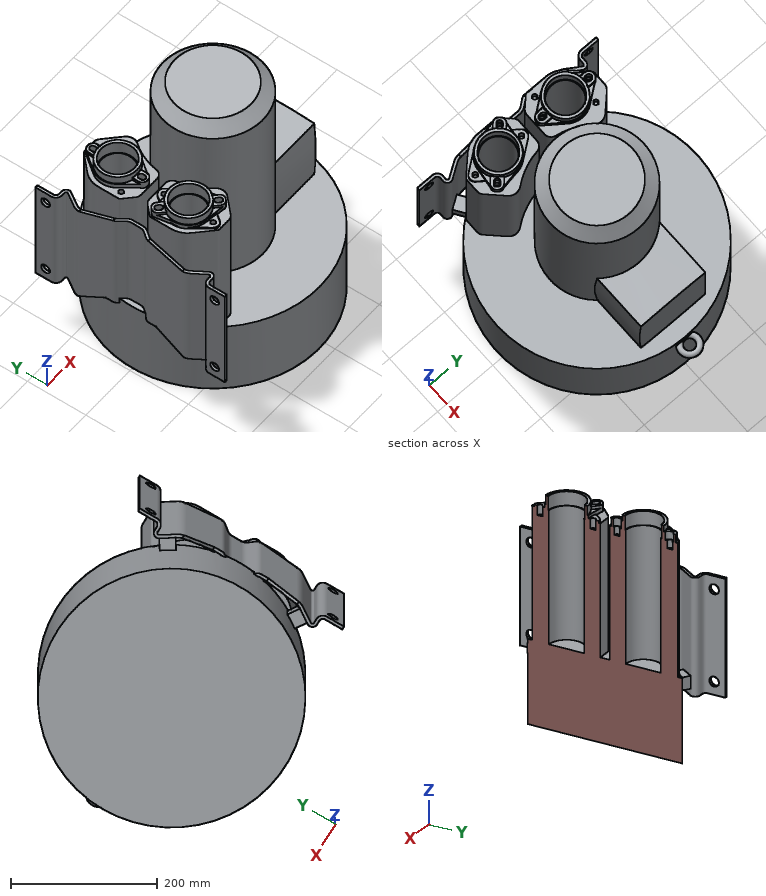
import cadquery as cq
import math

base_radius = 182.9
base_height = 130.0
motor_radius = 85.5
motor_top_radius = 65.5
motor_chamfer_height = 19.5
total_height = 432.7

box_end_x = 155.4
box_front_y = -56.2
box_back_y = 60.7
box_height = 111.2
box_crown = 2.4

pipe_x = -135.2
pipe_y = 60.8
silencer_top = 333.3
silencer_left_x = -177.3
silencer_outer_y = 115.8
silencer_inner_y = 6.9
outer_left_x = -139.6
outer_right_x = -111.5
inner_left_x = -158.0
motor_clearance_radius = 106.5
wall_round = 38.0
edge_round = 12.0
flank_round = 16.0
small_round = 5.5

pipe_top = 354.5
pipe_radius = 33.4
pipe_bore_radius = 28.6
silencer_bore_radius = 27.5
flange_radius = 34.6
lug_radius = 9.5
lug_corner_round = 8.5
bolt_offset = 42.0
flange_top = 341.0
lug_top = 345.5
lug_start = 32.2
slot_start = 35.3
slot_end = 47.6
slot_width = 9.2
gasket_thickness = 3.1
flange_seat_height = 1.2
turned_angle = 46.5
tapped_hole_diameter = 8.0
tapped_hole_depth = 12.0

sheet = 4.8
bracket_outer_x = -187.5
bracket_half_width = 162.5
bracket_bottom = 90.0
bracket_top = 270.4
bracket_centre_top = 293.0
top_slope_start_y = 30.0
top_slope_end_y = 88.5
bottom_slope_end_y = 91.3
bottom_slope_start_y = 43.0
bottom_step_z = 121.1
notch_half_width = 22.6
mount_hole_diameter = 15.0
mount_hole_y = 145.0
mount_hole_spacing = 140.0
mount_hole_z = (bracket_bottom + bracket_top) / 2

bracket_half_line = [
    (bracket_outer_x + sheet / 2, bracket_half_width, 0),
    (bracket_outer_x + sheet / 2, 127.0, 8.0),
    (-161.9, 127.0, 5.0),
    (-183.7, 93.8, 19.0),
    (-183.7, 28.5, 10.0),
    (-171.6, 13.0, 15.0),
]

eye_end_x = 211.25
eye_ring_radius = 14.0
eye_wire_radius = 5.0
eye_z = 116.5

standoff_width = 22.5
standoff_length = 40.0
standoff_bottom = 100.5
standoff_top = 120.3


def unit(a, b):
    """Direction from point a to point b."""
    length = math.dist(a, b)
    return (b[0] - a[0]) / length, (b[1] - a[1]) / length


def rounded_outline(corners):
    """Closed wire through (x, y, radius) corners; a radius of 0 keeps the corner sharp."""
    spans = []
    for i, (x, y, radius) in enumerate(corners):
        corner = (x, y)
        back = unit(corner, corners[i - 1][:2])
        ahead = unit(corner, corners[(i + 1) % len(corners)][:2])
        half_angle = math.acos(back[0] * ahead[0] + back[1] * ahead[1]) / 2
        reach = radius / math.tan(half_angle)
        start = (x + back[0] * reach, y + back[1] * reach)
        end = (x + ahead[0] * reach, y + ahead[1] * reach)
        inward = unit((0, 0), (back[0] + ahead[0], back[1] + ahead[1]))
        sag = radius / math.sin(half_angle) - radius
        middle = (x + inward[0] * sag, y + inward[1] * sag)
        spans.append((start, middle, end, radius))
    outline = cq.Workplane("XY").moveTo(*spans[0][0])
    for i, (start, middle, end, radius) in enumerate(spans):
        if i > 0:
            outline = outline.lineTo(*start)
        if radius > 0:
            outline = outline.threePointArc(middle, end)
    return outline.close()


def cylinder(x, y, bottom, top, radius):
    return cq.Workplane("XY").workplane(offset=bottom).center(x, y).circle(radius).extrude(top - bottom)


def base_and_motor():
    base = cylinder(0, 0, 0, base_height, base_radius)
    profile = [
        (0, 0),
        (motor_radius, 0),
        (motor_radius, total_height - motor_chamfer_height),
        (motor_top_radius, total_height),
        (0, total_height),
    ]
    motor = cq.Workplane("XZ").polyline(profile).close().revolve(360, (0, 0), (0, 1))
    return base.union(motor)


def terminal_box():
    bottom = base_height + box_crown
    top = base_height + box_height - box_crown
    middle_y = (box_front_y + box_back_y) / 2
    middle_z = (bottom + top) / 2
    return (
        cq.Workplane("YZ")
        .moveTo(box_back_y, bottom)
        .lineTo(box_back_y, top)
        .threePointArc((middle_y, top + box_crown), (box_front_y, top))
        .threePointArc((box_front_y - box_crown, middle_z), (box_front_y, bottom))
        .threePointArc((middle_y, bottom - box_crown), (box_back_y, bottom))
        .close()
        .extrude(box_end_x)
    )


def silencer_body():
    """Silencer on the +Y side: 45 degree diagonals and a hollow flank following the motor."""
    left_to_outer = outer_left_x - silencer_left_x
    left_to_inner = inner_left_x - silencer_left_x
    outline = rounded_outline(
        [
            (silencer_left_x, silencer_inner_y + left_to_inner, small_round),
            (silencer_left_x, silencer_outer_y - left_to_outer, wall_round),
            (outer_left_x, silencer_outer_y, small_round),
            (outer_right_x, silencer_outer_y, edge_round),
            (outer_right_x + silencer_outer_y, 0, 0),
            (0, silencer_inner_y, 0),
            (inner_left_x, silencer_inner_y, edge_round),
        ]
    )
    body = outline.extrude(silencer_top - base_height).translate((0, 0, base_height))
    body = body.cut(cylinder(0, 0, base_height, silencer_top, motor_clearance_radius))
    body = body.edges("|Z").edges(">X").fillet(flank_round)
    margin = 1.0
    inner_corner = cq.selectors.BoxSelector(
        (-motor_clearance_radius - margin, silencer_inner_y - margin, base_height),
        (-motor_clearance_radius + margin, silencer_inner_y + margin, silencer_top),
    )
    return body.edges(inner_corner).fillet(edge_round)


def lobed_plate(bottom, top):
    """Plate round the pipe with a lug at each end of the Y axis, joined by tangent sides."""
    tilt = math.asin((flange_radius - lug_radius) / bolt_offset)
    side_x = flange_radius * math.cos(tilt)
    side_y = flange_radius * math.sin(tilt)
    lug_x = lug_radius * math.cos(tilt)
    lug_y = bolt_offset + lug_radius * math.sin(tilt)
    tip_y = bolt_offset + lug_radius
    return (
        cq.Workplane("XY")
        .workplane(offset=bottom)
        .moveTo(side_x, side_y)
        .lineTo(lug_x, lug_y)
        .threePointArc((0, tip_y), (-lug_x, lug_y))
        .lineTo(-side_x, side_y)
        .threePointArc((-flange_radius, 0), (-side_x, -side_y))
        .lineTo(-lug_x, -lug_y)
        .threePointArc((0, -tip_y), (lug_x, -lug_y))
        .lineTo(side_x, -side_y)
        .threePointArc((flange_radius, 0), (side_x, side_y))
        .close()
        .extrude(top - bottom)
    )


def block_along_y(width, start, end, bottom, top):
    """Block centred on the Y axis, from start to end along it."""
    block = cq.Workplane("XY").box(width, end - start, top - bottom, centered=(True, False, False))
    return block.translate((0, start, bottom))


def pipe_flange(bottom):
    """Pipe stub on its flange, centred on the Z axis with the lugs along Y."""
    lug_end = bolt_offset + lug_radius
    flat_start = math.sqrt(pipe_radius**2 - (slot_width / 2) ** 2)
    flange = lobed_plate(bottom, flange_top)
    pipe = cylinder(0, 0, bottom, pipe_top, pipe_radius)
    for turn in (0, 180):
        flat = block_along_y(2 * lug_radius, flat_start, lug_end, flange_top, pipe_top)
        pipe = pipe.cut(flat.rotate((0, 0, 0), (0, 0, 1), turn))
    flange = flange.union(pipe)
    pad = block_along_y(2 * lug_radius, lug_start, lug_end, bottom, lug_top)
    pad = pad.faces(">Y").edges("|Z").fillet(lug_corner_round)
    slot = (
        cq.Workplane("XY")
        .workplane(offset=bottom)
        .center(0, (slot_start + slot_end) / 2)
        .slot2D(slot_end - slot_start, slot_width, 90)
        .extrude(lug_top - bottom)
    )
    for turn in (0, 180):
        flange = flange.union(pad.rotate((0, 0, 0), (0, 0, 1), turn))
        flange = flange.cut(slot.rotate((0, 0, 0), (0, 0, 1), turn))
    return flange.cut(cylinder(0, 0, bottom, pipe_top, pipe_bore_radius))


def bolt_holes(angle, bottom, top):
    """Pair of holes on opposite sides of the pipe, at an angle from the Y axis."""
    radius = tapped_hole_diameter / 2
    pair = cylinder(0, bolt_offset, bottom, top, radius).union(cylinder(0, -bolt_offset, bottom, top, radius))
    return pair.rotate((0, 0, 0), (0, 0, 1), angle)


def silencer(side, flange_angle, has_gasket):
    """Complete silencer; side is 1 or -1 for the +Y or -Y one."""
    body = silencer_body()
    if side < 0:
        body = body.mirror("XZ")
    body = body.translate((-pipe_x, -side * pipe_y, 0))
    body = body.cut(cylinder(0, 0, base_height, silencer_top, silencer_bore_radius))
    flange_bottom = silencer_top
    hole_top = silencer_top
    if has_gasket:
        flange_bottom = silencer_top + flange_seat_height
        hole_top = silencer_top + gasket_thickness
        gasket = lobed_plate(silencer_top, hole_top)
        body = body.union(gasket.cut(cylinder(0, 0, silencer_top, hole_top, pipe_bore_radius)))
    for angle in (0, -side * turned_angle):
        body = body.cut(bolt_holes(angle, silencer_top - tapped_hole_depth, hole_top))
    flange = pipe_flange(flange_bottom).rotate((0, 0, 0), (0, 0, 1), flange_angle)
    return body.union(flange).translate((pipe_x, side * pipe_y, 0))


def sheet_side(line, offset):
    """Centre line shifted sideways by offset to the left of travel, with matching bend radii."""
    shifted = []
    for i, (x, y, radius) in enumerate(line):
        here = (x, y)
        is_first = i == 0
        is_last = i == len(line) - 1
        after = unit(line[i - 1][:2], here) if is_last else unit(here, line[i + 1][:2])
        before = after if is_first else unit(line[i - 1][:2], here)
        normal = (-before[1] - after[1], before[0] + after[0])
        scale = 2 * offset / (normal[0] ** 2 + normal[1] ** 2)
        turn = before[0] * after[1] - before[1] * after[0]
        new_radius = radius - math.copysign(1, turn) * offset if radius else 0
        shifted.append((x + normal[0] * scale, y + normal[1] * scale, new_radius))
    return shifted


def bracket():
    other_half = [(x, -y, radius) for x, y, radius in reversed(bracket_half_line)]
    line = bracket_half_line + other_half
    outline = sheet_side(line, sheet / 2) + sheet_side(line, -sheet / 2)[::-1]
    plate = rounded_outline(outline).extrude(bracket_centre_top)
    half_face = [
        (0, bracket_centre_top),
        (top_slope_start_y, bracket_centre_top),
        (top_slope_end_y, bracket_top),
        (bracket_half_width, bracket_top),
        (bracket_half_width, bracket_bottom),
        (bottom_slope_end_y, bracket_bottom),
        (bottom_slope_start_y, bottom_step_z),
        (notch_half_width, bottom_step_z),
        (notch_half_width, base_height),
        (0, base_height),
    ]
    face = cq.Workplane("YZ").polyline(half_face).close().extrude(base_radius, both=True)
    face = face.translate((-base_radius, 0, 0))
    plate = plate.intersect(face.union(face.mirror("XZ")))
    holes = (
        cq.Workplane("YZ", origin=(bracket_outer_x, 0, mount_hole_z))
        .rarray(2 * mount_hole_y, mount_hole_spacing, 2, 2)
        .circle(mount_hole_diameter / 2)
        .extrude(sheet)
    )
    return plate.cut(holes)


def standoff(side):
    """Block standing square on the sloping part of the bracket and running into the base."""
    upper = bracket_half_line[2]
    lower = bracket_half_line[3]
    slope = math.degrees(math.atan2(upper[0] - lower[0], upper[1] - lower[1]))
    block = (
        cq.Workplane("XY")
        .box(standoff_length, standoff_width, standoff_top - standoff_bottom, centered=(False, True, False))
        .rotate((0, 0, 0), (0, 0, 1), -slope)
        .translate(((upper[0] + lower[0]) / 2, (upper[1] + lower[1]) / 2, standoff_bottom))
    )
    return block if side > 0 else block.mirror("XZ")


def lifting_eye():
    centre_x = eye_end_x - eye_ring_radius - eye_wire_radius
    ring = cq.Solid.makeTorus(
        eye_ring_radius, eye_wire_radius, cq.Vector(centre_x, 0, eye_z), cq.Vector(0, 0, 1)
    )
    return cq.Workplane(ring)


result = base_and_motor().union(terminal_box()).union(lifting_eye())
result = result.union(silencer(1, 0, False)).union(silencer(-1, turned_angle, True))
result = result.union(bracket()).union(standoff(1)).union(standoff(-1))